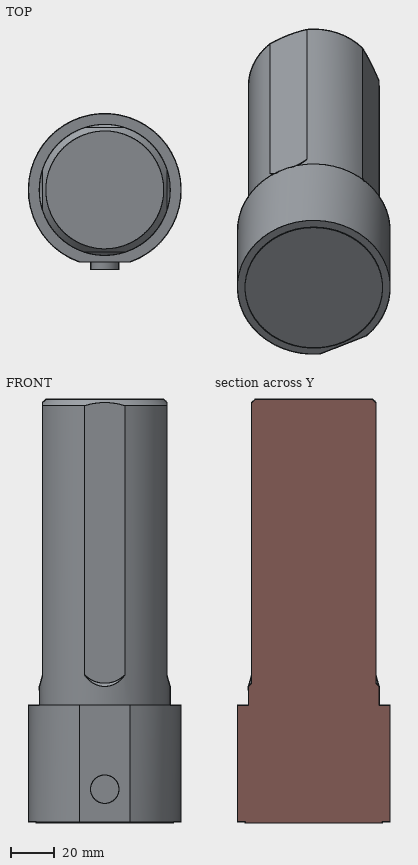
import cadquery as cq

FULL_TURN = 360.0

TOTAL_HEIGHT = 194.0
SHANK_LENGTH = 140.0
SHOULDER_Z = TOTAL_HEIGHT - SHANK_LENGTH

COLLAR_DIAMETER = 70.0
SHANK_DIAMETER = 59.98
SHANK_CHAMFER = 3.0
FOOT_DIAMETER = 63.0
FOOT_HEIGHT = 0.5

COLLAR_FLAT_OFFSET = 33.0
PIN_DIAMETER = 13.0
PIN_PROTRUSION = 3.5
PIN_Z = 15.5

FLAT_COUNT = 4
FLAT_OFFSET = 28.5
FLAT_END_Z = 64.0
FLAT_END_RADIUS = 13.0

shank_radius = SHANK_DIAMETER / 2
pin_end_offset = COLLAR_FLAT_OFFSET + PIN_PROTRUSION


def make_body():
    """Foot, collar and chamfered shank on one axis."""
    foot = cq.Workplane("XY").circle(FOOT_DIAMETER / 2).extrude(FOOT_HEIGHT)
    collar = (
        cq.Workplane("XY")
        .workplane(offset=FOOT_HEIGHT)
        .circle(COLLAR_DIAMETER / 2)
        .extrude(SHOULDER_Z - FOOT_HEIGHT)
    )
    collar_flat_cutter = cq.Workplane("XY").box(
        COLLAR_DIAMETER, COLLAR_DIAMETER, TOTAL_HEIGHT, centered=(True, False, False)
    ).translate((0, -COLLAR_FLAT_OFFSET - COLLAR_DIAMETER, 0))
    shank = (
        cq.Workplane("XY")
        .workplane(offset=SHOULDER_Z)
        .circle(shank_radius)
        .extrude(SHANK_LENGTH)
        .faces(">Z")
        .chamfer(SHANK_CHAMFER)
    )
    return foot.union(collar.cut(collar_flat_cutter)).union(shank)


def make_pin():
    """Pin standing out of the collar flat towards -Y, rooted on the part axis."""
    return (
        cq.Workplane("XZ")
        .center(0, PIN_Z)
        .circle(PIN_DIAMETER / 2)
        .extrude(pin_end_offset)
    )


def make_shank_flat_cutter():
    """Cutter for the -Y flat: open at the top, with a 45-degree conical run-out at the bottom."""
    depth = shank_radius - FLAT_OFFSET
    outer_radius = FLAT_END_RADIUS + depth
    arc_center_z = FLAT_END_Z + FLAT_END_RADIUS
    run_out = (
        cq.Workplane("XY")
        .polyline([
            (0, -FLAT_OFFSET),
            (FLAT_END_RADIUS, -FLAT_OFFSET),
            (outer_radius, -shank_radius),
            (0, -shank_radius),
        ])
        .close()
        .revolve(FULL_TURN, (0, 0, 0), (0, 1, 0))
        .translate((0, 0, arc_center_z))
    )
    channel = cq.Workplane("XY").box(
        2 * FLAT_END_RADIUS, depth, TOTAL_HEIGHT - arc_center_z, centered=(True, False, False)
    ).translate((0, -shank_radius, arc_center_z))
    return run_out.union(channel)


result = make_body().union(make_pin())
shank_flat_cutter = make_shank_flat_cutter()
for index in range(FLAT_COUNT):
    angle = index * FULL_TURN / FLAT_COUNT
    result = result.cut(shank_flat_cutter.rotate((0, 0, 0), (0, 0, 1), angle))